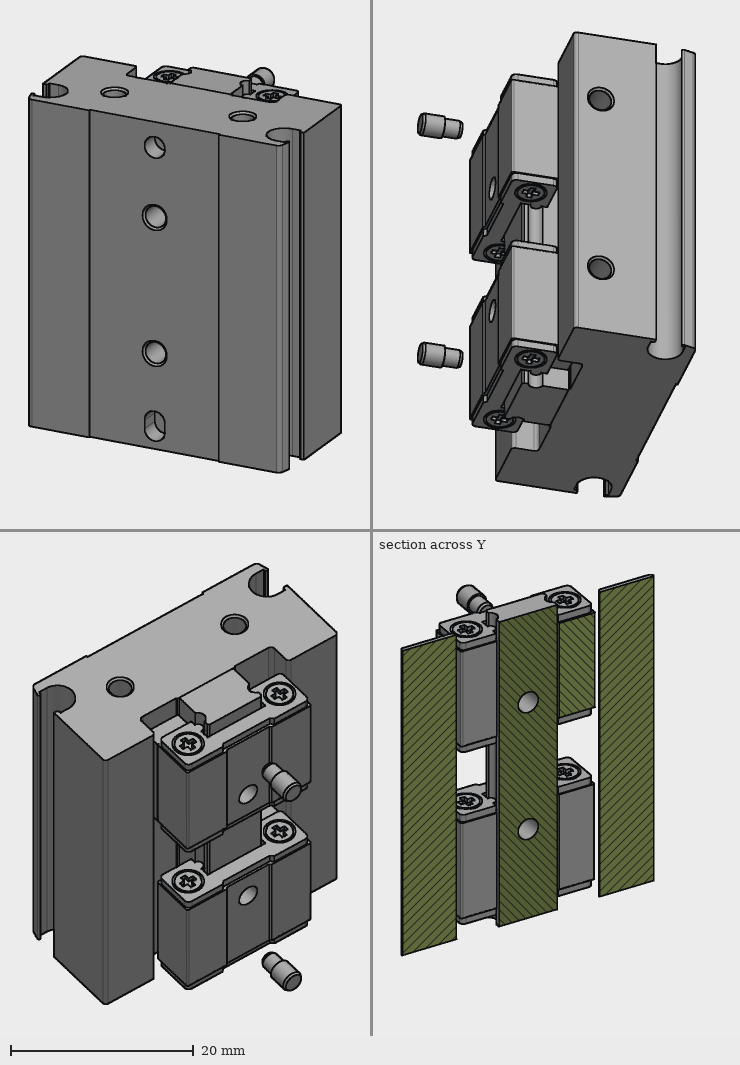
import cadquery as cq
import math


housing_width = 32.0
housing_length = 38.5
housing_height = 14.0
housing_corner_radius = 0.4
half_width = housing_width / 2

base_relief_width = 15.9
base_relief_depth = 0.2

channel_half_width = 9.1
channel_floor_y = 11.05
channel_floor_radius = 0.5
seat_half_width = 4.0
seat_y = 11.2

sensor_slot_diameter = 3.9
sensor_slot_center_x = 14.35
sensor_slot_center_y = 3.22
sensor_slot_half_mouth = 1.5
sensor_slot_mouth_x = 15.4
lip_top_y = sensor_slot_center_y - sensor_slot_half_mouth
lip_inset = 0.13
lip_radius = 0.2
base_half_width = 15.4
base_corner_radius = 0.55

tapped_diameter = 2.5
countersink_diameter = 3.0
drill_tip_angle = 118.0
blind_depth = 5.0
side_hole_y = 11.0
side_hole_z = 11.0
end_hole_x = 7.85
end_hole_y = 6.0
through_hole_z = 8.0

locating_diameter = 2.5
locating_depth = 2.5
locating_hole_z = 16.25
locating_slot_z = -16.55
locating_slot_length = 3.5

rail_half_width = 3.7
rail_top_y = 16.45
rail_chamfer = 0.2
groove_radius = 0.85
groove_center_x = 3.95
groove_center_y = 14.95

carriage_center_z = 10.85
carriage_half_width = 8.5
carriage_bottom_y = 13.55
carriage_top_y = 19.0
carriage_opening_half_width = 3.95
carriage_opening_top_y = 16.7
carriage_body_length = 12.0
carriage_corner_radius = 0.2
carriage_relief_half_width = 3.1
carriage_relief_depth = 0.2

end_plate_thickness = 0.9
end_plate_inset = 0.15
end_plate_corner = 0.55
end_plate_rib_radius = 0.6
end_plate_relief_half_width = 3.55
end_plate_relief_depth = 0.35

screw_x = 6.27
screw_y = 16.2
screw_seat_diameter = 3.5
screw_head_diameter = 3.0
screw_seat_depth = 0.25
cross_length = 1.8
cross_width = 0.6
cross_depth = 0.5

block_bottom_y = 11.3
block_clearance = 0.1
block_chamfer = 0.15
tongue_width = 2.25
tongue_length = 10.0

pin_head_diameter = 2.46
pin_tail_diameter = 2.01
pin_top_y = 27.0
pin_head_length = 2.5
pin_length = 4.6
pin_spacing = 29.9
pin_head_chamfer_length = 0.28
pin_tail_chamfer_length = 0.35
pin_chamfer_inset = 0.17

edge_margin = 0.1


def along_z(profile, length):
    """Extrude an XY profile along Z, centred on Z = 0."""
    return profile.extrude(length / 2, both=True)


def block_xy(x_min, x_max, y_min, y_max, length, center_z=0.0):
    """Box given by its X and Y limits, centred along Z."""
    box = cq.Workplane("XY").box(x_max - x_min, y_max - y_min, length)
    return box.translate(((x_min + x_max) / 2, (y_min + y_max) / 2, center_z))


def cylinder_z(diameter, length, x, y):
    return along_z(cq.Workplane("XY").circle(diameter / 2), length).translate((x, y, 0))


def cylinder_y(diameter, y_min, y_max, x, z):
    start = cq.Vector(x, y_min, z)
    return cq.Workplane(cq.Solid.makeCylinder(diameter / 2, y_max - y_min, start, cq.Vector(0, 1, 0)))


def countersink(point, direction):
    """45 degree cone that widens a tapped hole to the countersink diameter at its mouth."""
    depth = (countersink_diameter - tapped_diameter) / 2
    return cq.Workplane(
        cq.Solid.makeCone(
            countersink_diameter / 2, tapped_diameter / 2, depth, cq.Vector(*point), cq.Vector(*direction)
        )
    )


def blind_tapped_hole(point, direction):
    """Countersunk blind hole with a conical drill tip."""
    radius = tapped_diameter / 2
    tip_length = radius / math.tan(math.radians(drill_tip_angle / 2))
    mouth = cq.Vector(*point)
    axis = cq.Vector(*direction)
    drilled = cq.Workplane(cq.Solid.makeCylinder(radius, blind_depth, mouth, axis))
    tip = cq.Solid.makeCone(radius, 0, tip_length, mouth + axis * blind_depth, axis)
    return drilled.union(cq.Workplane(tip)).union(countersink(point, direction))


def through_holes():
    """Straight bores in line through the housing, the rail and the carriages."""
    bores = cq.Workplane("XY")
    for z in (-through_hole_z, through_hole_z):
        bores = bores.union(cylinder_y(tapped_diameter, 0, carriage_top_y, 0, z))
    return bores


def sensor_slot(side):
    """T-shaped sensor slot: round bottom, parallel walls and a narrower mouth between two lips."""
    radius = sensor_slot_diameter / 2
    bottom = cylinder_z(sensor_slot_diameter, housing_length, sensor_slot_center_x, sensor_slot_center_y)
    walls = block_xy(
        sensor_slot_center_x,
        sensor_slot_mouth_x,
        sensor_slot_center_y - radius,
        sensor_slot_center_y + radius,
        housing_length,
    )
    mouth = block_xy(
        sensor_slot_center_x,
        half_width,
        sensor_slot_center_y - sensor_slot_half_mouth,
        sensor_slot_center_y + sensor_slot_half_mouth,
        housing_length,
    )
    slot = bottom.union(walls).union(mouth)
    return slot if side > 0 else slot.mirror("YZ")


def housing_blank():
    """Outer profile whose sides slope inward below the sensor slots, with rounded corners."""
    lip_x = half_width - lip_inset
    right_side = [
        (base_half_width, 0),
        (lip_x, lip_top_y),
        (half_width, sensor_slot_center_y),
        (half_width, housing_height),
    ]
    left_side = [(-x, y) for x, y in reversed(right_side)]
    blank = along_z(cq.Workplane("XY").polyline(right_side + left_side).close(), housing_length)
    blank = blank.edges("|Z and <Y").fillet(base_corner_radius)
    return blank.edges("|Z and >Y").fillet(housing_corner_radius)


def channel():
    """Channel for the carriages, with a raised seat for the rail along its middle."""
    trough = block_xy(
        -channel_half_width, channel_half_width, channel_floor_y, housing_height, housing_length
    )
    trough = trough.edges("|Z and <Y").fillet(channel_floor_radius)
    seat = block_xy(-seat_half_width, seat_half_width, channel_floor_y, seat_y, housing_length)
    return trough.cut(seat)


def make_housing():
    body = housing_blank().cut(channel())
    mouth_edges = cq.selectors.BoxSelector(
        (-channel_half_width - edge_margin, housing_height - edge_margin, -housing_length),
        (channel_half_width + edge_margin, housing_height + edge_margin, housing_length),
    )
    body = body.edges(mouth_edges).edges("|Z").fillet(housing_corner_radius)
    for side in (-1, 1):
        body = body.cut(sensor_slot(side))
        lip_edge = cq.selectors.NearestToPointSelector((side * (half_width - lip_inset), lip_top_y, 0))
        body = body.edges("|Z").edges(lip_edge).fillet(lip_radius)
        body = body.cut(blind_tapped_hole((side * end_hole_x, end_hole_y, housing_length / 2), (0, 0, -1)))

    relief_half = base_relief_width / 2
    body = body.cut(block_xy(-relief_half, relief_half, 0, base_relief_depth, housing_length))

    body = body.cut(through_holes())
    for z in (-through_hole_z, through_hole_z):
        body = body.cut(countersink((0, base_relief_depth, z), (0, 1, 0)))
    for z in (-side_hole_z, side_hole_z):
        body = body.cut(blind_tapped_hole((-half_width, side_hole_y, z), (1, 0, 0)))

    locating_floor_y = base_relief_depth + locating_depth
    body = body.cut(cylinder_y(locating_diameter, 0, locating_floor_y, 0, locating_hole_z))
    slot = (
        cq.Workplane("XZ")
        .center(0, locating_slot_z)
        .slot2D(locating_slot_length, locating_diameter, 90)
        .extrude(-locating_floor_y)
    )
    return body.cut(slot)


def make_rail():
    rail = block_xy(-rail_half_width, rail_half_width, seat_y, rail_top_y, housing_length)
    rail = rail.edges("|Z and >Y").chamfer(rail_chamfer)
    for side in (-1, 1):
        groove = cylinder_z(2 * groove_radius, housing_length, side * groove_center_x, groove_center_y)
        rail = rail.cut(groove)
    return rail.cut(through_holes())


def channel_section(half_span, bottom_y, top_y, length, rib_radius):
    """Inverted U around the rail, with a round rib on each leg that runs in the rail groove."""
    section = block_xy(-half_span, half_span, bottom_y, top_y, length)
    opening = block_xy(
        -carriage_opening_half_width,
        carriage_opening_half_width,
        bottom_y,
        carriage_opening_top_y,
        length,
    )
    section = section.cut(opening)
    for side in (-1, 1):
        section = section.union(
            cylinder_z(2 * rib_radius, length, side * groove_center_x, groove_center_y)
        )
    return section


def top_relief(half_span, top_y, depth, length):
    """Shallow trough along the top, with 45 degree sides."""
    profile = [
        (-half_span, top_y),
        (half_span, top_y),
        (half_span - depth, top_y - depth),
        (depth - half_span, top_y - depth),
    ]
    return along_z(cq.Workplane("XY").polyline(profile).close(), length)


def outer_corners(half_span):
    """Selects the lengthwise edges on the two outer sides."""
    reach = 2 * carriage_top_y
    inner_x = half_span - edge_margin
    outer_x = half_span + edge_margin
    left = cq.selectors.BoxSelector((-outer_x, 0, -reach), (-inner_x, reach, reach))
    right = cq.selectors.BoxSelector((inner_x, 0, -reach), (outer_x, reach, reach))
    return left + right


def screw_seat(x, face_z):
    """Conical seat around a flush screw head, and the cross recess in the head."""
    into_plate = cq.Vector(0, 0, -1)
    center = cq.Vector(x, screw_y, face_z)
    cone = cq.Workplane(
        cq.Solid.makeCone(
            screw_seat_diameter / 2, screw_head_diameter / 2, screw_seat_depth, center, into_plate
        )
    )
    head = cq.Workplane(
        cq.Solid.makeCylinder(screw_head_diameter / 2, screw_seat_depth, center, into_plate)
    )
    cross = (
        cq.Workplane("XY")
        .box(cross_length, cross_width, 2 * cross_depth)
        .union(cq.Workplane("XY").box(cross_width, cross_length, 2 * cross_depth))
        .translate(center.toTuple())
    )
    return cone.cut(head).union(cross)


def make_end_plate():
    """End plate lying on Z = 0, with its outer face toward +Z."""
    half_span = carriage_half_width - end_plate_inset
    top_y = carriage_top_y - end_plate_inset
    bottom_y = carriage_bottom_y + end_plate_inset
    plate = channel_section(half_span, bottom_y, top_y, end_plate_thickness, end_plate_rib_radius)
    plate = plate.edges("|Z").edges(outer_corners(half_span)).fillet(end_plate_corner)
    plate = plate.cut(
        top_relief(end_plate_relief_half_width, top_y, end_plate_relief_depth, end_plate_thickness)
    )
    for side in (-1, 1):
        plate = plate.cut(screw_seat(side * screw_x, end_plate_thickness / 2))
    return plate.translate((0, 0, end_plate_thickness / 2))


def make_carriage(center_z):
    carriage = channel_section(
        carriage_half_width, carriage_bottom_y, carriage_top_y, carriage_body_length, groove_radius
    )
    carriage = carriage.edges("|Z").edges(outer_corners(carriage_half_width)).fillet(carriage_corner_radius)
    carriage = carriage.cut(
        top_relief(carriage_relief_half_width, carriage_top_y, carriage_relief_depth, carriage_body_length)
    )
    plate = make_end_plate().translate((0, 0, carriage_body_length / 2))
    carriage = carriage.union(plate).union(plate.mirror("XY"))
    return carriage.translate((0, 0, center_z)).cut(through_holes())


def make_drive_block(side, center_z, top_y):
    """Block beneath a carriage leg, standing on the channel floor by a narrow tongue."""
    inner_x = side * carriage_opening_half_width
    outer_x = side * carriage_half_width
    x_min, x_max = sorted((inner_x, outer_x))
    block = block_xy(x_min, x_max, block_bottom_y, top_y, carriage_body_length, center_z)
    middle_x = (x_min + x_max) / 2
    tongue = block_xy(
        middle_x - tongue_width / 2,
        middle_x + tongue_width / 2,
        channel_floor_y,
        block_bottom_y,
        tongue_length,
        center_z,
    )
    return block.union(tongue)


def make_pin(z):
    """Stepped pin along Y with its larger end outward."""
    shoulder_y = pin_top_y - pin_head_length
    head = cylinder_y(pin_head_diameter, shoulder_y, pin_top_y, 0, z)
    head = head.faces(">Y").chamfer(pin_head_chamfer_length, pin_chamfer_inset)
    tail = cylinder_y(pin_tail_diameter, pin_top_y - pin_length, shoulder_y, 0, z)
    tail = tail.faces("<Y").chamfer(pin_tail_chamfer_length, pin_chamfer_inset)
    return head.union(tail)


housing = make_housing()
rail = make_rail()

lower_carriage = make_carriage(-carriage_center_z)
upper_carriage = make_carriage(carriage_center_z).union(
    make_drive_block(1, carriage_center_z, carriage_bottom_y)
)

free_block = make_drive_block(-1, -carriage_center_z, carriage_bottom_y - block_clearance)
free_block = free_block.faces(">Z").edges(">Y").chamfer(block_chamfer)

pins = [make_pin(z) for z in (-pin_spacing / 2, pin_spacing / 2)]

result = cq.Compound.makeCompound(
    [
        housing.val(),
        rail.val(),
        lower_carriage.val(),
        upper_carriage.val(),
        free_block.val(),
        *[pin.val() for pin in pins],
    ]
)